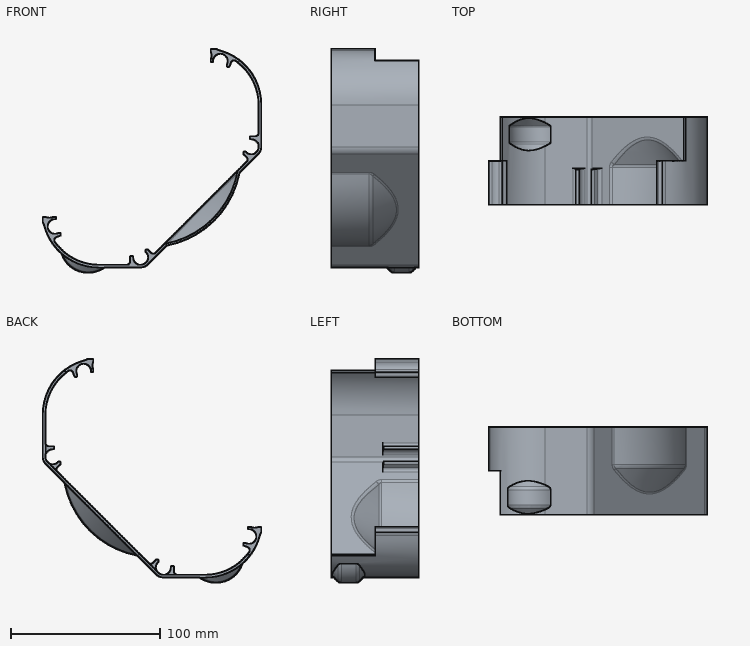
import cadquery as cq
import math


depth = 58.8
thickness = 2.0
bend_inner_radius = 4.8
bend_at = 78.0
end_radius = 37.8
end_reach = 109.0

lip_depth = depth / 2
lip_height = 34.0
lip_face_reach = 146.5
lip_face_bottom = 30.3
lip_blend_bottom = 28.4
lip_rounding = 0.6
back_end_angle = 38
beyond = 165.1

post_width = 2.3
post_foot_radius = 2.1
bend_seat_radius = 5.0
bend_clip_depth = 24.3
bend_clip_slant = 0.8
bend_post_height = 8.0
end_seat_radius = 4.8
end_clip_angle = 19.5
end_post_overhang = 2.1
lip_post_tip = 137.4
lip_post_root = 145.3
lip_neck = (139.6, 144.4)
lip_neck_sag = 0.5

bulge_thickness = 1.5
pocket_axis = 75.0
pocket_radius = 61.5
pocket_half_length = 26.1
pocket_slope = 31
pocket_rounding = 3.8

bump_reach = 116.0
bump_height = 15.2
bump_y = 47.1
bump_radius = 18.8
bump_half_length = 5.7
bump_slope = 45
bump_rounding = 1.8

half_bend = math.radians(22.5)
bend_radius = thickness + bend_inner_radius
bend_centre = (bend_at + bend_radius * math.tan(half_bend), bend_radius)
end_centre = (end_reach, end_radius)
inner_end_radius = end_radius - thickness


def xz(reach, height):
    """Point of the x-z workplane."""
    return (-reach, height)


def polar(centre, radius, degrees):
    """Profile point at a radius and angle about a centre."""
    angle = math.radians(degrees)
    return xz(centre[0] + radius * math.cos(angle), centre[1] + radius * math.sin(angle))


def swap(point):
    """Mirror image of a workplane point about x = -z."""
    return (-point[1], -point[0])


def mirrored(solid):
    """Mirror image of a solid about x = -z."""
    return solid.mirror((1, 0, 1))


def profile(y=0):
    """Workplane for profiles; extruding by a negative length goes to +y."""
    return cq.Workplane("XZ", origin=(0, y, 0))


def filled_sheet(inset):
    """Everything inside the sheet surface, twice as deep and centred on y = 0."""
    bend = [polar(bend_centre, bend_radius - inset, a) for a in (270, 247.5, 225)]
    end = [polar(end_centre, end_radius - inset, a) for a in (270, 315, 360)]
    far_corner = xz(end_reach + end_radius - inset, end_reach + end_radius - inset)
    return (
        profile()
        .moveTo(*end[2])
        .threePointArc(end[1], end[0])
        .lineTo(*bend[0])
        .threePointArc(bend[1], bend[2])
        .lineTo(*swap(bend[2]))
        .threePointArc(swap(bend[1]), swap(bend[0]))
        .lineTo(*swap(end[0]))
        .threePointArc(swap(end[1]), swap(end[2]))
        .lineTo(*far_corner)
        .close()
        .extrude(depth, both=True)
    )


def bulge(reach, height, y, radius, half_length, slope, half_extent):
    """Cylinder about a y axis with truncated cones at both ends."""
    end = radius - (half_extent - half_length) * math.tan(math.radians(slope))
    return (
        cq.Workplane("XY", origin=(-reach, y, height))
        .polyline([
            (0, -half_extent),
            (end, -half_extent),
            (radius, -half_length),
            (radius, half_length),
            (end, half_extent),
            (0, half_extent),
        ])
        .close()
        .revolve(360, (0, 0), (0, 1))
    )


def cone_edge_shift(slope):
    """How much longer a bulge's cylinder gets at each end per unit of skin."""
    return math.tan(math.radians(slope) / 2)


pocket_edges = cq.selectors.BoxSelector((-67.5, -52.5, 7.5), (-7.5, 52.5, 67.5))
pocket_cone_edges = cq.selectors.BoxSelector((-37.5, -52.5, 30), (-30, 52.5, 37.5))


def filled_body(outside):
    """Filled sheet with its bulges, up to the outer or the inner surface."""
    inset = 0 if outside else thickness
    skin = bulge_thickness if outside else 0
    pocket = bulge(
        pocket_axis, pocket_axis, 0,
        pocket_radius - bulge_thickness + skin,
        pocket_half_length + skin * cone_edge_shift(pocket_slope),
        pocket_slope, depth,
    )
    bump = bulge(
        bump_reach, bump_height, bump_y,
        bump_radius - bulge_thickness + skin,
        bump_half_length + skin * cone_edge_shift(bump_slope),
        bump_slope, depth - bump_y,
    )
    bump = bump.edges(cq.selectors.RadiusNthSelector(-1)).fillet(bump_rounding + skin)
    return (
        filled_sheet(inset)
        .union(pocket)
        .edges(pocket_cone_edges)
        .fillet(pocket_rounding + skin)
        .edges(pocket_edges - pocket_cone_edges)
        .fillet(pocket_rounding - skin)
        .union(bump)
    )


def seat(centre, radius, length):
    """Round space of a clip."""
    return profile().center(*xz(*centre)).circle(radius).extrude(-length)


def bend_clip():
    """Clip at the bend, mirrored about the plane that halves the bend."""
    inner = bend_centre[0] + bend_seat_radius
    outer = inner + post_width
    foot = outer + post_foot_radius
    root = thickness / 2
    shoulder = bend_post_height - post_width / 2
    foot_centre = (foot, thickness + post_foot_radius)
    post = (
        profile()
        .moveTo(*xz(bend_centre[0], root))
        .lineTo(*xz(foot, root))
        .lineTo(*xz(foot, thickness))
        .threePointArc(polar(foot_centre, post_foot_radius, 225), xz(outer, foot_centre[1]))
        .lineTo(*xz(outer, shoulder))
        .threePointArc(xz(inner + post_width / 2, bend_post_height), xz(inner, shoulder))
        .lineTo(*xz(inner, bend_centre[1]))
        .lineTo(*xz(*bend_centre))
        .close()
        .extrude(-bend_clip_depth)
    )
    slanted_end = (
        cq.Workplane("YZ")
        .polyline([
            (0, 0),
            (bend_clip_depth, 0),
            (bend_clip_depth, thickness),
            (bend_clip_depth - bend_clip_slant, bend_post_height),
            (0, bend_post_height),
        ])
        .close()
        .extrude(-beyond)
    )
    post = post.intersect(slanted_end)
    halving = (math.cos(half_bend), 0, math.sin(half_bend))
    other_post = post.mirror(halving, (-bend_at, 0, 0))
    return post.union(other_post).cut(seat(bend_centre, bend_seat_radius, bend_clip_depth))


def end_clip():
    """Clip at the arm end: one post points to the end's centre, the other lies along the lip."""
    seat_at = inner_end_radius - end_seat_radius
    turn = math.radians(end_clip_angle)
    seat_centre = (end_reach + seat_at * math.cos(turn), end_radius - seat_at * math.sin(turn))

    radial = cq.Plane(
        origin=(-end_reach, 0, end_radius),
        xDir=(-math.cos(turn), 0, -math.sin(turn)),
        normal=(0, -1, 0),
    )
    inner = end_seat_radius
    outer = inner + post_width
    tip = seat_at - end_post_overhang
    shoulder = tip + post_width / 2
    foot_y = outer + post_foot_radius
    foot_x = math.sqrt((inner_end_radius - post_foot_radius) ** 2 - foot_y ** 2)
    foot_turn = math.atan2(foot_y, foot_x)
    foot_end = (inner_end_radius * math.cos(foot_turn), inner_end_radius * math.sin(foot_turn))
    root = inner_end_radius + thickness / 2
    foot_root = (root * math.cos(foot_turn), root * math.sin(foot_turn))
    middle_turn = (foot_turn - math.pi / 2) / 2
    foot_middle = (
        foot_x + post_foot_radius * math.cos(middle_turn),
        foot_y + post_foot_radius * math.sin(middle_turn),
    )
    radial_post = (
        cq.Workplane(radial)
        .moveTo(seat_at, -outer + 0.3)
        .lineTo(seat_at, inner)
        .lineTo(shoulder, inner)
        .threePointArc((tip, inner + post_width / 2), (shoulder, outer))
        .lineTo(foot_x, outer)
        .threePointArc(foot_middle, foot_end)
        .lineTo(*foot_root)
        .lineTo(root, -outer + 0.3)
        .close()
        .extrude(-lip_depth)
    )
    post_bottom = seat_centre[1] + end_seat_radius
    tip_radius = (lip_height - post_bottom) / 2
    lip_post = (
        profile()
        .moveTo(*xz(lip_post_root, lip_height))
        .lineTo(*xz(lip_post_tip + tip_radius, lip_height))
        .threePointArc(
            xz(lip_post_tip, lip_height - tip_radius),
            xz(lip_post_tip + tip_radius, post_bottom),
        )
        .lineTo(*xz(lip_post_root, post_bottom))
        .close()
        .extrude(-lip_depth)
    )
    blend_reach = end_reach + math.sqrt(end_radius ** 2 - (end_radius - lip_blend_bottom) ** 2)
    lip_face = (
        profile()
        .polyline([
            xz(blend_reach, lip_blend_bottom),
            xz(lip_face_reach, lip_face_bottom),
            xz(lip_face_reach, lip_height),
            xz(blend_reach - thickness / 2, lip_height),
        ])
        .close()
        .extrude(-lip_depth)
    )
    neck_start, neck_end = lip_neck
    neck = (
        profile()
        .moveTo(*xz(neck_start, lip_height))
        .threePointArc(
            xz((neck_start + neck_end) / 2, lip_height - lip_neck_sag),
            xz(neck_end, lip_height),
        )
        .close()
        .extrude(-lip_depth)
    )
    clip = radial_post.union(lip_post).union(lip_face).cut(neck)
    return clip.cut(seat(seat_centre, end_seat_radius, lip_depth))


def end_trim():
    """Space beyond the arm end: level above the front lip, radial behind it."""
    above_lip = (
        profile()
        .polyline([
            xz(end_reach, lip_height),
            xz(beyond, lip_height),
            xz(beyond, beyond),
            xz(end_reach, beyond),
        ])
        .close()
        .extrude(-depth)
    )
    behind_lip = (
        profile(lip_depth)
        .polyline([
            xz(*end_centre),
            polar(end_centre, 2 * end_radius, -back_end_angle),
            xz(beyond, beyond),
            xz(end_reach, beyond),
        ])
        .close()
        .extrude(-lip_depth)
    )
    return above_lip.union(behind_lip)


sheet = filled_body(outside=True).cut(filled_body(outside=False))
body_space = cq.Workplane("XY").box(4 * beyond, depth, 4 * beyond).translate((0, depth / 2, 0))
trim = end_trim()
sheet = sheet.intersect(body_space).cut(trim).cut(mirrored(trim))

for feature in (bend_clip(), end_clip().cut(trim)):
    sheet = sheet.union(feature).union(mirrored(feature))

lip_corner = cq.selectors.BoxSelector((-147.1, 0, 33), (-145.6, lip_depth, 34.5))
result = sheet.edges(lip_corner).edges("|Y").fillet(lip_rounding)
upper_lip_corner = cq.selectors.BoxSelector((-34.5, 0, 145.6), (-33, lip_depth, 147.1))
result = result.edges(upper_lip_corner).edges("|Y").fillet(lip_rounding)